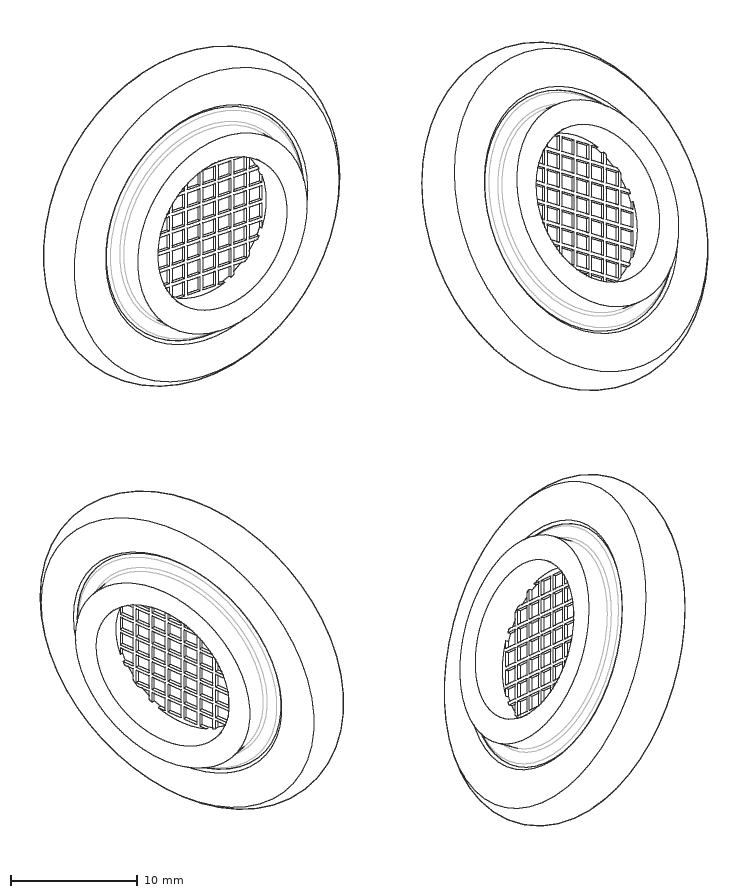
import cadquery as cq
import math

outer_radius = 14.22
hub_length = 8.0
hub_radius = 8.5
bore_radius = 6.5

flange_width = 3.9
flange_radius = 9.9
edge_fillet = 0.23

rim_section_radius = 2.5
rim_center_radius = outer_radius - rim_section_radius

web_thickness = 2.6
pocket_size = 1.25
pocket_count = 8
grid_width = 12.1
pocket_depth = 0.28

half_hub = hub_length / 2
half_flange = flange_width / 2
half_web = web_thickness / 2


def revolve_about_x(section):
    """Turn a closed half section (x along the axis, y as radius) into a solid."""
    return section.revolve(360, (0, 0, 0), (1, 0, 0))


def make_core():
    """Web, hubs and flange, with fillets at the foot of the hubs and on the flange edges."""
    section = (
        cq.Workplane("XY")
        .moveTo(-half_web, 0)
        .lineTo(-half_web, bore_radius)
        .lineTo(-half_hub, bore_radius)
        .lineTo(-half_hub, hub_radius)
        .lineTo(-half_flange - edge_fillet, hub_radius)
        .radiusArc((-half_flange, hub_radius + edge_fillet), -edge_fillet)
        .lineTo(-half_flange, flange_radius - edge_fillet)
        .radiusArc((-half_flange + edge_fillet, flange_radius), edge_fillet)
        .lineTo(half_flange - edge_fillet, flange_radius)
        .radiusArc((half_flange, flange_radius - edge_fillet), edge_fillet)
        .lineTo(half_flange, hub_radius + edge_fillet)
        .radiusArc((half_flange + edge_fillet, hub_radius), -edge_fillet)
        .lineTo(half_hub, hub_radius)
        .lineTo(half_hub, bore_radius)
        .lineTo(half_web, bore_radius)
        .lineTo(half_web, 0)
        .close()
    )
    return revolve_about_x(section)


def make_rim():
    """Outer rim; its inner bulge runs into the flange and leaves a narrow V groove on each side."""
    half_flat = math.sqrt(rim_section_radius**2 - half_flange**2)
    flat_outer = rim_center_radius + half_flat
    flat_inner = rim_center_radius - half_flat
    section = (
        cq.Workplane("XY")
        .moveTo(-half_flange, flat_inner)
        .lineTo(-half_flange, flat_outer)
        .threePointArc((0, outer_radius), (half_flange, flat_outer))
        .lineTo(half_flange, flat_inner)
        .threePointArc((0, rim_center_radius - rim_section_radius), (-half_flange, flat_inner))
        .close()
    )
    return revolve_about_x(section)


def make_pockets():
    """Square pockets for the -X side of the web, trimmed to the bore circle."""
    pitch = (grid_width - pocket_size) / (pocket_count - 1)
    web_face = cq.Workplane("YZ", origin=(-half_web, 0, 0))
    squares = (
        web_face.rarray(pitch, pitch, pocket_count, pocket_count)
        .rect(pocket_size, pocket_size)
        .extrude(pocket_depth)
    )
    bore_disc = web_face.circle(bore_radius).extrude(pocket_depth)
    return squares.intersect(bore_disc)


pockets = make_pockets()
result = make_core().union(make_rim()).cut(pockets).cut(pockets.mirror("YZ"))